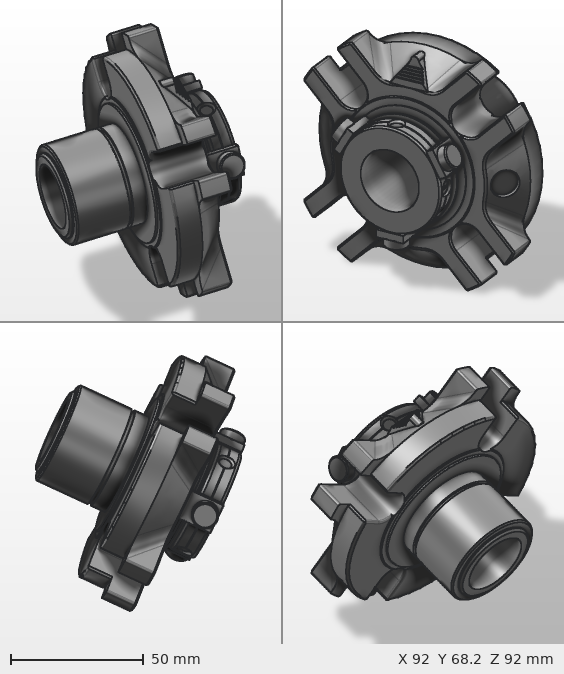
import cadquery as cq
import math


rear_end_y = 26.4
collar_groove_y = 21.4
collar_front_y = 16.6
snap_ring_rear_y = 15.3
snap_ring_front_y = 14.4
boss_y = 13.1
boss_step_y = 12.6
plate_rear_y = 12.3
flange_front_y = -9.9
ring_front_y = -10.4
pad_front_y = -11.3
groove_rear_y = -17.0
groove_front_y = -18.5
sleeve_front_y = -40.2
nose_front_y = -41.8

bore_r = 25.4 / 2
neck_r = 27.35 / 2
nose_r = 33.6 / 2
groove_r = 37.6 / 2
sleeve_r = 39.6 / 2
collar_r = 43.9 / 2
snap_ring_r = 45.5 / 2
boss_r = 25.3
pad_r = 55.0 / 2
boss_step_r = 28.4
ring_r = 30.2
flange_r = 46.0
lug_tip_r = 52.5

nose_chamfer = 0.9
sleeve_chamfer = 0.6
ring_chamfer = 0.55
boss_flare = 0.9
collar_bevel = 0.55
collar_bevel_length = 1.2
collar_groove_depth = 0.2

slot_angles = [45, 135, 225, 315]
slot_half_width = 7.1
slot_center_r = 35.8
slot_open_r = lug_tip_r + 0.9
lug_outer_half_width = 14.8
lug_blend_r = 8.9
lug_corner_r = 0.9
lug_rear_chamfer = 0.6
flange_edge_r = 0.9
flange_corner = 0.9

plug_d = 11.3
plug_depth = 2.6
plug_y = 7.0
nose_tip_y = 2.3
nose_step_y = 7.6
nose_pin_d = 3.3
nose_pin_z = 42.5
nose_flank_slope = 0.7
nose_root_z = 33.15
nose_step_count = 5
nose_step_z = 39.8
nose_step_drop = 0.9

clip_angles = [30, 150, 270]
clip_inner_r = 21.7
clip_outer_r = 24.9
clip_foot_r = 20.6
clip_width = 11.7
cap_screw_d = 10.0
cap_screw_top_r = 29.0
cap_screw_chamfer = 0.55
set_screw_angles = [90, 210, 330]
drive_screw_angle = 180
set_screw_d = 5.0
set_screw_mouth_d = 7.0
set_screw_sink = 1.1
drive_slot_width = 0.9
drive_slot_depth = 0.5


def disc(radius, y_from, y_to):
    """Cylinder on the Y axis."""
    return cq.Workplane("XZ", origin=(0, y_from, 0)).circle(radius).extrude(y_from - y_to)


def turned(points):
    """Solid of revolution about the Y axis from (radius, y) points."""
    return cq.Workplane("XY").polyline(points).close().revolve(360, (0, 0, 0), (0, 1, 0))


def at_angle(shape, angle):
    """Turn a shape built along +X to an angle measured from +X toward +Z."""
    return shape.rotate((0, 0, 0), (0, 1, 0), -angle)


def block(x_from, x_to, y_from, y_to, width):
    """Box along +X, centred on z = 0."""
    return cq.Workplane("XY").box(x_to - x_from, y_to - y_from, width).translate(
        ((x_from + x_to) / 2, (y_from + y_to) / 2, 0))


def around_slots(shape):
    """Copy a shape built on +X to every slot angle."""
    copies = at_angle(shape, slot_angles[0])
    for angle in slot_angles[1:]:
        copies = copies.union(at_angle(shape, angle))
    return copies


def from_axis(edge):
    """Distance of the middle of an edge from the Y axis."""
    return math.hypot(edge.Center().x, edge.Center().z)


def half_slot():
    """Half of a round-ended slot on +X, on its counter-clockwise side."""
    diagonal = slot_half_width * math.sqrt(0.5)
    return (
        cq.Workplane("XZ", origin=(0, boss_y, 0))
        .moveTo(slot_center_r - slot_half_width, 0)
        .threePointArc((slot_center_r - diagonal, diagonal), (slot_center_r, slot_half_width))
        .lineTo(slot_open_r, slot_half_width)
        .lineTo(slot_open_r, 0)
        .close()
        .extrude(boss_y - nose_front_y)
    )


def front_flange(counter_clockwise_halves, slots):
    """Flange whose front rim and counter-clockwise slot walls are rounded."""
    flange = disc(flange_r, flange_front_y, 0).cut(counter_clockwise_halves)

    def is_slot_center_line(edge):
        on_diagonal = abs(abs(edge.Center().x) - abs(edge.Center().z)) < 0.1
        return edge.geomType() == "LINE" and on_diagonal

    front_edges = flange.faces("<Y").edges().vals()
    rounded = [edge for edge in front_edges if not is_slot_center_line(edge)]
    flange = flange.newObject(rounded).fillet(flange_edge_r).cut(slots)

    corner_x = math.sqrt(flange_r**2 - slot_half_width**2) - flange_corner
    reach = 3 * flange_corner
    bevel = (
        cq.Workplane("XZ")
        .moveTo(corner_x, slot_half_width)
        .lineTo(corner_x + reach, slot_half_width + reach)
        .lineTo(corner_x + reach, slot_half_width)
        .close()
        .extrude(-flange_front_y)
    )
    return flange.cut(around_slots(bevel.union(bevel.mirror("XY"))))


def polar(radius, angle):
    """Point at an angle in radians from +X toward +Z, as sketched on the XZ plane."""
    return radius * math.cos(angle), radius * math.sin(angle)


def lug_outline(sketch, cone_r):
    """Outline of the cone and its lugs where the cone has the given radius."""
    center_z = lug_outer_half_width + lug_blend_r
    center_angle = math.asin(center_z / (cone_r + lug_blend_r))
    wall_x = (cone_r + lug_blend_r) * math.cos(center_angle)
    wall_r = math.hypot(wall_x, lug_outer_half_width)
    wall_angle = math.atan2(lug_outer_half_width, wall_x)
    middle_turn = math.pi + (math.pi / 2 + center_angle) / 2
    middle_x = wall_x + lug_blend_r * math.cos(middle_turn)
    middle_z = center_z + lug_blend_r * math.sin(middle_turn)
    middle_r = math.hypot(middle_x, middle_z)
    middle_angle = math.atan2(middle_z, middle_x)
    tip_angle = math.asin(lug_outer_half_width / lug_tip_r)

    first = math.radians(slot_angles[0])
    sketch = sketch.moveTo(*polar(cone_r, first - center_angle))
    for slot_angle in slot_angles:
        slot = math.radians(slot_angle)
        next_slot = slot + math.pi / 2
        sketch = (
            sketch
            .threePointArc(polar(middle_r, slot - middle_angle), polar(wall_r, slot - wall_angle))
            .lineTo(*polar(lug_tip_r, slot - tip_angle))
            .threePointArc(polar(lug_tip_r, slot), polar(lug_tip_r, slot + tip_angle))
            .lineTo(*polar(wall_r, slot + wall_angle))
            .threePointArc(polar(middle_r, slot + middle_angle), polar(cone_r, slot + center_angle))
            .threePointArc(polar(cone_r, slot + math.pi / 4), polar(cone_r, next_slot - center_angle))
        )
    return sketch.close()


def lug_plate(slots):
    """Rear plate: a 45 degree cone with eight lugs blended into it."""
    plate = lug_outline(cq.Workplane("XZ"), flange_r)
    plate = lug_outline(plate.workplane(offset=-plate_rear_y), flange_r - plate_rear_y)
    plate = plate.loft(ruled=True).cut(slots)

    mid_y = plate_rear_y / 2
    tips = [edge for edge in plate.edges().vals()
            if abs(edge.Center().y - mid_y) < 0.1 and from_axis(edge) > lug_tip_r - 0.2]
    plate = plate.newObject(tips).fillet(lug_corner_r)
    return plate.faces(">Y").chamfer(lug_rear_chamfer)


def plug_port():
    """Blind hole square to the sloped rim on the -X side."""
    rim_r = flange_r - plug_y
    slope = cq.Plane(origin=(-rim_r, plug_y, 0), xDir=(0, 0, 1), normal=(-1, 1, 0))
    clearance = plug_d / 2
    return cq.Workplane(slope).workplane(offset=-plug_depth).circle(plug_d / 2).extrude(
        plug_depth + clearance)


def ridge(y_from, y_to, top_z):
    """Length of the port nose along Y: flat-topped, with flanks spreading inward from the pin."""
    pin_r = nose_pin_d / 2
    top_half_width = pin_r + nose_flank_slope * (nose_pin_z - top_z)
    root_half_width = pin_r + nose_flank_slope * (nose_pin_z - nose_root_z)
    return (
        cq.Workplane("XZ", origin=(0, y_from, 0))
        .moveTo(-root_half_width, nose_root_z)
        .lineTo(-top_half_width, top_z)
        .lineTo(top_half_width, top_z)
        .lineTo(root_half_width, nose_root_z)
        .close()
        .extrude(y_from - y_to)
    )


def port_nose():
    """V-shaped nose on the +Z rim: a pin at its point and steps falling and widening to the rear."""
    pin = disc(nose_pin_d / 2, nose_tip_y, nose_step_y).translate((0, 0, nose_pin_z))
    nose = ridge(nose_tip_y, nose_step_y, nose_pin_z).union(pin)
    tread = (plate_rear_y - nose_step_y) / nose_step_count
    for i in range(nose_step_count):
        step_y = nose_step_y + i * tread
        nose = nose.union(ridge(step_y, step_y + tread, nose_step_z - i * nose_step_drop))
    return nose


def sleeve():
    """Front pads, grooved sleeve, nose and the rear boss, neck and collar."""
    return turned([
        (bore_r, nose_front_y),
        (nose_r - nose_chamfer, nose_front_y),
        (nose_r, nose_front_y + nose_chamfer),
        (nose_r, sleeve_front_y),
        (sleeve_r - sleeve_chamfer, sleeve_front_y),
        (sleeve_r, sleeve_front_y + sleeve_chamfer),
        (sleeve_r, groove_front_y),
        (groove_r, groove_front_y),
        (groove_r, groove_rear_y),
        (sleeve_r, groove_rear_y),
        (sleeve_r, pad_front_y),
        (pad_r, pad_front_y),
        (pad_r, ring_front_y),
        (ring_r - ring_chamfer, ring_front_y),
        (ring_r, ring_front_y + ring_chamfer),
        (ring_r, boss_step_y - boss_flare),
        (boss_step_r, boss_step_y),
        (boss_r, boss_step_y),
        (boss_r, boss_y),
        (collar_r, boss_y),
        (collar_r, snap_ring_front_y),
        (snap_ring_r, snap_ring_front_y),
        (snap_ring_r, snap_ring_rear_y),
        (neck_r, snap_ring_rear_y),
        (neck_r, collar_front_y),
        (collar_r - collar_bevel, collar_front_y),
        (collar_r, collar_front_y + collar_bevel_length),
        (collar_r, collar_groove_y - collar_groove_depth),
        (collar_r - collar_groove_depth, collar_groove_y),
        (collar_r, collar_groove_y + collar_groove_depth),
        (collar_r, rear_end_y - collar_bevel_length),
        (collar_r - collar_bevel, rear_end_y),
        (bore_r, rear_end_y),
    ])


def setting_clip():
    """Clip on +X: a block with a locating foot and a cap screw head."""
    clip = block(clip_inner_r, clip_outer_r, boss_y, rear_end_y, clip_width)
    foot = block(clip_foot_r, clip_inner_r, snap_ring_rear_y, collar_front_y, clip_width)
    head = (
        cq.Workplane("YZ", origin=(clip_outer_r, rear_end_y - cap_screw_d / 2, 0))
        .circle(cap_screw_d / 2)
        .extrude(cap_screw_top_r - clip_outer_r)
        .faces(">X").chamfer(cap_screw_chamfer)
    )
    return clip.union(foot).union(head)


def screw_recess():
    """Tapered sinking for a set screw on +X."""
    return (
        cq.Workplane("YZ", origin=(collar_r, collar_groove_y, 0))
        .circle(set_screw_mouth_d / 2)
        .workplane(offset=-set_screw_sink)
        .circle(set_screw_d / 2)
        .loft()
    )


def drive_slot():
    """Screwdriver slot in the floor of a screw recess on +X."""
    floor_r = collar_r - set_screw_sink - drive_slot_depth
    half_length = set_screw_d / 2
    return block(floor_r, collar_r, collar_groove_y - half_length,
                 collar_groove_y + half_length, drive_slot_width)


slot_half = half_slot()
slots = around_slots(slot_half.union(slot_half.mirror("XY")))
result = front_flange(around_slots(slot_half), slots).union(lug_plate(slots))
result = result.union(sleeve().cut(slots))
result = result.cut(disc(bore_r, nose_front_y, rear_end_y))

result = result.cut(plug_port()).union(port_nose())

for angle in clip_angles:
    result = result.union(at_angle(setting_clip(), angle))
for angle in set_screw_angles + [drive_screw_angle]:
    result = result.cut(at_angle(screw_recess(), angle))
result = result.cut(at_angle(drive_slot(), drive_screw_angle))